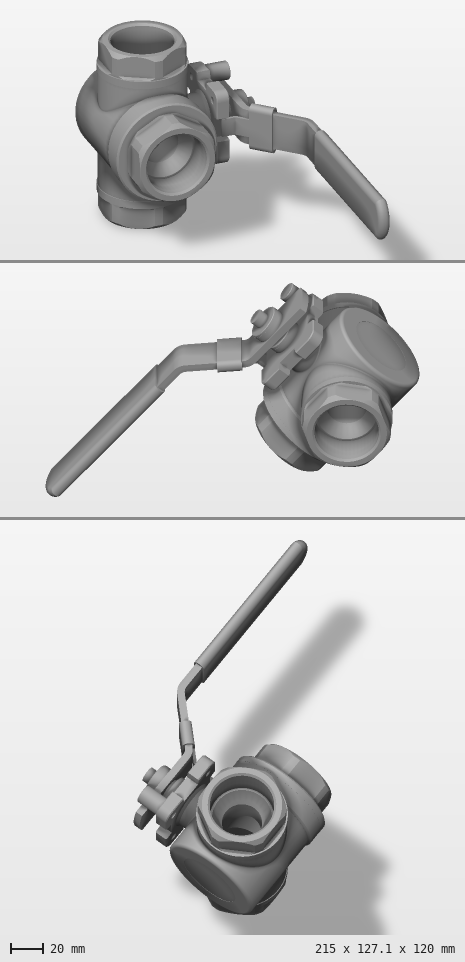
import cadquery as cq
import math


body_dia = 64.5
body_end_x = -33.1
body_end_fillet = 2.2
label_dia = 40.0
label_depth = 0.2
collar_dia = 67.3
collar_start_x = 25.4
collar_taper = 1.3
flange_dia = 67.5
flange_start_x = 36.5
flange_end_x = 41.7
flange_chamfer = 1.0
joint_fillet = 0.9

pipe_dia = 56.0
pipe_collar_dia = 57.0
pipe_collar_start_z = 39.3
pipe_collar_end_z = 44.3

hex_flats = 50.0
hex_corner_dia = 55.0
hex_end_dia = 49.9
hex_chamfer = 2.8
hex_root_height = 1.3
side_port_end_z = 60.0
end_port_end_x = 58.7
mouth_dia = 42.5
thread_dia = 40.0
seat_dia = 37.2
bore_dia = 25.0
thread_depth = 21.5
cone_depth = 30.0

neck_dia = 28.0
neck_flare = 1.7
plate_bottom_y = 39.8
plate_top_y = 48.4
plate_width = 50.5
plate_corner_radius = 6.0
plate_chamfer = 0.6
notch_floor_width = 14.2
notch_mouth_width = 16.0
notch_depth = 5.5
plate_hole_dia = 5.0
plate_hole_depth = 4.3
plate_hole_offset = 17.6
stop_pin_dia = 12.0
stop_pin_top_y = 63.9

stem_dia = 15.0
stem_tip_dia = 10.0
stem_tip_y = 73.7
nut_dia = 22.1
washer_dia = 22.0
gland_nut_top_y = 52.5
gland_washer_top_y = 54.5
lever_nut_top_y = 66.0
lever_washer_top_y = 68.0
ring_chamfer = 0.5

bar_thickness = 4.7
bar_width = 23.6
bar_low_y = 59.0
bar_high_y = 89.5
bar_tail_x = -30.5
bar_tail_bulge = 2.4
bar_low_bend_x = 23.6
bar_bend_radius = 8.5
bar_high_bend_x = bar_low_bend_x + bar_high_y - bar_low_y
half_bend = math.tan(math.radians(22.5))

grip_start_x = 73.5
grip_tip_x = 181.9
grip_width = 28.0
grip_thickness = 7.7
grip_edge_radius = 3.76
grip_tip_bulge = 6.9

sleeve_width = 31.0
sleeve_thickness = 7.7
sleeve_edge_radius = 3.76
sleeve_wall = 1.5
sleeve_length = 15.5
sleeve_start_x = 26.9
leg_thickness = 2.0
leg_width = 12.0
leg_x = 22.1
leg_end_y = 44.0


def cylinder_x(dia, start, end):
    return cq.Workplane("YZ", origin=(start, 0, 0)).circle(dia / 2).extrude(end - start)


def cylinder_y(dia, start, end, x=0.0, z=0.0):
    return cq.Workplane("XZ", origin=(x, start, z)).circle(dia / 2).extrude(start - end)


def revolved(points):
    """Turn a closed (radius, height) outline about the Z axis."""
    return cq.Workplane("XZ").polyline(points).close().revolve(360, (0, 0, 0), (0, 1, 0))


def to_side(shape, side):
    """Carry a port built along +Z to the named side."""
    turns = {"+Z": 0, "+X": 90, "-Z": 180}
    return shape.rotate((0, 0, 0), (0, 1, 0), turns[side])


def port_hexagon(root, end):
    """Hexagon with turned corners, a chamfered end and flats flared at the root."""
    corner_radius = hex_corner_dia / 2
    corner_ratio = 1 / math.cos(math.radians(30))
    sketch = cq.Workplane("XY", origin=(0, 0, root))
    blank = sketch.polygon(6, hex_flats * corner_ratio).extrude(end - root)
    root_flats = hex_flats + 2 * hex_root_height
    flare = sketch.polygon(6, root_flats * corner_ratio).extrude(hex_root_height, taper=45)
    turned = revolved([
        (0, root),
        (corner_radius, root),
        (corner_radius, end - hex_chamfer),
        (hex_end_dia / 2, end),
        (0, end),
    ])
    return blank.union(flare).intersect(turned)


def port_bore(end):
    """Stepped bore from the port mouth to the ball centre."""
    mouth_chamfer = (mouth_dia - thread_dia) / 2
    return revolved([
        (0, 0),
        (bore_dia / 2, 0),
        (bore_dia / 2, end - cone_depth),
        (seat_dia / 2, end - thread_depth),
        (thread_dia / 2, end - thread_depth),
        (thread_dia / 2, end - mouth_chamfer),
        (mouth_dia / 2, end),
        (0, end),
    ])


def casting():
    """Body, pipes and neck with blended joints, then the body collar and flange."""
    body = cylinder_x(body_dia, body_end_x, collar_start_x)
    body = body.faces("<X").edges().fillet(body_end_fillet)
    pipes = cq.Workplane("XY").circle(pipe_dia / 2).extrude(pipe_collar_start_z, both=True)
    neck = cylinder_y(neck_dia, 0, plate_bottom_y)
    blended = body.union(pipes).union(neck)
    blended = blended.edges("%BSPLINE").fillet(joint_fillet)
    collar = cylinder_x(collar_dia, collar_start_x, flange_start_x)
    collar = collar.faces("<X").edges().chamfer(collar_taper)
    flange = cylinder_x(flange_dia, flange_start_x, flange_end_x)
    flange = flange.faces(">X").edges().chamfer(flange_chamfer)
    label = cylinder_x(label_dia, body_end_x, body_end_x + label_depth)
    return blended.union(collar).union(flange).cut(label)


def pipe_collar():
    height = pipe_collar_end_z - pipe_collar_start_z
    return cq.Workplane("XY", origin=(0, 0, pipe_collar_start_z)).circle(
        pipe_collar_dia / 2
    ).extrude(height)


def plate():
    """Square plate, notched mid-side, with corner holes from below and a conical flare onto the neck."""
    height = plate_top_y - plate_bottom_y
    half = plate_width / 2
    block = cq.Workplane("XZ", origin=(0, plate_bottom_y, 0)).rect(plate_width, plate_width)
    block = block.extrude(-height).edges("|Y").fillet(plate_corner_radius)
    block = block.faces("<Y or >Y").edges().chamfer(plate_chamfer)
    notch = cq.Workplane("XZ", origin=(0, plate_bottom_y, 0)).polyline([
        (half, -notch_mouth_width / 2),
        (half, notch_mouth_width / 2),
        (half - notch_depth, notch_floor_width / 2),
        (half - notch_depth, -notch_floor_width / 2),
    ]).close().extrude(-height)
    for side in range(4):
        block = block.cut(notch.rotate((0, 0, 0), (0, 1, 0), 90 * side))
    for x in (-plate_hole_offset, plate_hole_offset):
        for z in (-plate_hole_offset, plate_hole_offset):
            hole_end = plate_bottom_y + plate_hole_depth
            block = block.cut(cylinder_y(plate_hole_dia, plate_bottom_y, hole_end, x, z))
    flare = cq.Workplane(cq.Solid.makeCone(
        neck_dia / 2,
        neck_dia / 2 + neck_flare,
        neck_flare,
        cq.Vector(0, plate_bottom_y - neck_flare, 0),
        cq.Vector(0, 1, 0),
    ))
    return block.union(flare)


def stop_pin():
    return cylinder_y(
        stop_pin_dia, plate_top_y, stop_pin_top_y, -plate_hole_offset, plate_hole_offset
    ).faces(">Y").edges().chamfer(ring_chamfer)


def stem():
    """Stem with a nut and washer below the lever and another pair above it."""
    bar_top_y = bar_low_y + bar_thickness / 2
    stack = cylinder_y(stem_dia, plate_top_y, bar_top_y)
    stack = stack.union(cylinder_y(stem_tip_dia, bar_top_y, stem_tip_y))
    pairs = (
        (plate_top_y, gland_nut_top_y, gland_washer_top_y),
        (bar_top_y, lever_nut_top_y, lever_washer_top_y),
    )
    for bottom, middle, top in pairs:
        washer = cylinder_y(washer_dia, middle, top).faces(">Y").edges().chamfer(ring_chamfer)
        stack = stack.union(cylinder_y(nut_dia, bottom, middle)).union(washer)
    return stack


def lever_bar():
    half = bar_thickness / 2
    shift = half * half_bend
    end_x = grip_start_x + grip_width
    bar = cq.Workplane("XY").polyline([
        (bar_tail_x, bar_low_y - half),
        (bar_low_bend_x + shift, bar_low_y - half),
        (bar_high_bend_x + shift, bar_high_y - half),
        (end_x, bar_high_y - half),
        (end_x, bar_high_y + half),
        (bar_high_bend_x - shift, bar_high_y + half),
        (bar_low_bend_x - shift, bar_low_y + half),
        (bar_tail_x, bar_low_y + half),
    ]).close().extrude(bar_width / 2, both=True)
    inner = bar_bend_radius - half
    outer = bar_bend_radius + half
    bends = (
        (bar_low_bend_x + shift, bar_low_y - half, outer),
        (bar_low_bend_x - shift, bar_low_y + half, inner),
        (bar_high_bend_x + shift, bar_high_y - half, inner),
        (bar_high_bend_x - shift, bar_high_y + half, outer),
    )
    for x, y, radius in bends:
        bar = bar.edges(cq.selectors.NearestToPointSelector((x, y, 0))).fillet(radius)
    shoulder_x = bar_tail_x + bar_tail_bulge
    plan = cq.Workplane("XZ").moveTo(end_x, -bar_width / 2).lineTo(shoulder_x, -bar_width / 2)
    plan = plan.threePointArc((bar_tail_x, 0), (shoulder_x, bar_width / 2))
    plan = plan.lineTo(end_x, bar_width / 2).close().extrude(-2 * bar_high_y)
    return bar.intersect(plan)


def grip():
    """Flat grip with rounded long edges and a bowed, rounded tip."""
    shoulder_x = grip_tip_x - grip_tip_bulge
    outline = cq.Workplane("XZ", origin=(0, bar_high_y + grip_thickness / 2, 0))
    outline = outline.moveTo(grip_start_x, -grip_width / 2).lineTo(shoulder_x, -grip_width / 2)
    outline = outline.threePointArc((grip_tip_x, 0), (shoulder_x, grip_width / 2))
    slab = outline.lineTo(grip_start_x, grip_width / 2).close().extrude(grip_thickness)
    return slab.faces("<Y or >Y").edges("not(<X)").fillet(grip_edge_radius)


def lock_sleeve():
    """Slotted sleeve around the sloping part of the bar."""
    start_y = bar_low_y + sleeve_start_x - bar_low_bend_x
    frame = cq.Plane(origin=(sleeve_start_x, start_y, 0), xDir=(0, 0, 1), normal=(1, 1, 0))
    outer = cq.Workplane(frame).rect(sleeve_width, sleeve_thickness).extrude(sleeve_length)
    outer = outer.edges(cq.selectors.ParallelDirSelector(cq.Vector(1, 1, 0))).fillet(sleeve_edge_radius)
    slot = cq.Workplane(frame).slot2D(
        sleeve_width - 2 * sleeve_wall, sleeve_thickness - 2 * sleeve_wall
    ).extrude(sleeve_length)
    return outer.cut(slot)


def lock_leg():
    """Strip flush with the lower face of the sleeve, bent down into the plate notch."""
    half = leg_thickness / 2
    shift = half * half_bend
    drop = (sleeve_thickness / 2 - half) * math.sqrt(2)
    bend_y = bar_low_y + leg_x - bar_low_bend_x - drop
    run = sleeve_start_x + sleeve_thickness / 2 - leg_x
    return cq.Workplane("XY").polyline([
        (leg_x - half, leg_end_y),
        (leg_x + half, leg_end_y),
        (leg_x + half, bend_y - shift),
        (leg_x + half + run, bend_y - shift + run),
        (leg_x - half + run, bend_y + shift + run),
        (leg_x - half, bend_y + shift),
    ]).close().extrude(leg_width / 2, both=True)


valve = casting()
for side in ("+Z", "-Z"):
    valve = valve.union(to_side(pipe_collar(), side))
ports = (
    ("+Z", pipe_collar_end_z, side_port_end_z),
    ("-Z", pipe_collar_end_z, side_port_end_z),
    ("+X", flange_end_x, end_port_end_x),
)
for side, root, end in ports:
    valve = valve.union(to_side(port_hexagon(root, end), side))
for side, root, end in ports:
    valve = valve.cut(to_side(port_bore(end), side))
for piece in (plate(), stop_pin(), stem(), lever_bar(), grip(), lock_sleeve(), lock_leg()):
    valve = valve.union(piece)
result = valve